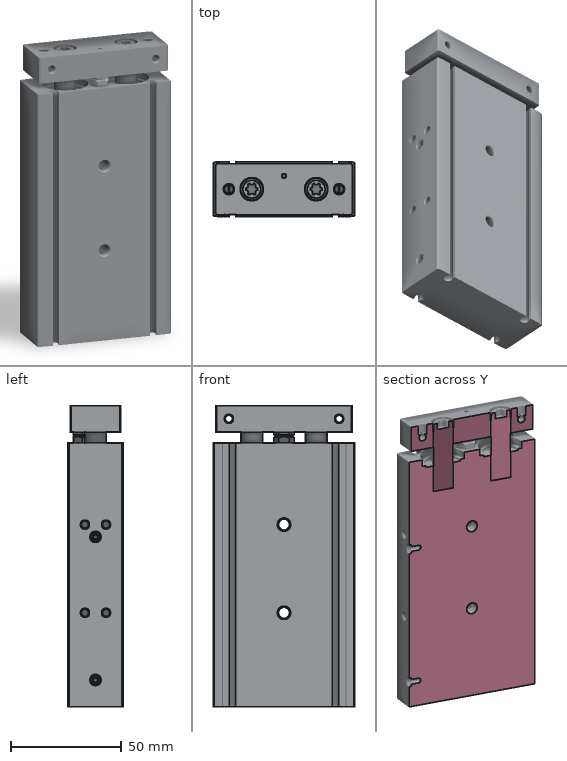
import cadquery as cq
import math

body_length = 119.6
body_width = 64.0
body_depth = 25.0
side_flat = 23.6
corner_cut = 0.4
shoulder_half_width = 28.0
groove_center_x = 23.3
groove_mouth_width = 3.0
groove_channel_dia = 4.1
groove_depth = 4.8

mount_hole_z = (42.6, 82.6)
body_hole_dia = 5.0
body_hole_rim = 6.0
side_hole_y = 4.8
side_hole_dia = 3.3
side_hole_rim = 4.1
side_hole_depth = 6.0
port_z = (12.1, 77.0)
port_dia = 4.1
port_rim = 5.0
port_depth = 0.8
port_step_dia = 3.3
port_step_depth = 1.4
port_bore_dia = 2.0
port_bore_depth = 5.5
drill_tip_angle = 118

rod_x = 14.6
rod_dia = 10.0
rod_insertion = 16.4
rod_top_gap = 0.4
rod_top_dia = 8.0
seal_recess_dia = 21.0
seal_recess_depth = 3.1
seal_step_dia = 17.2
seal_step_depth = 4.0
socket_tip_dia = 5.6
socket_valley_dia = 4.1
socket_tip_half_angle = 10
socket_depth = 3.0

total_height = 136.5
plate_width = 62.0
plate_depth = 23.1
plate_height = 12.0
plate_chamfer = 0.5
plate_bottom = total_height - plate_height
rod_counterbore_dia = 10.5
rod_counterbore_depth = 4.1
plate_hole_x = 25.0
cross_hole_dia = 3.3
cross_hole_rim = 4.1
cross_hole_z = total_height - plate_height / 2
top_hole_dia = 4.1
top_hole_rim = 4.9
top_hole_break_in = 0.04
top_hole_depth = (plate_height - cross_hole_dia) / 2 + top_hole_break_in

bolt_y = 6.0
hex_flats = 8.0
hex_corners = hex_flats / math.cos(math.radians(30))
bolt_head_top_dia = 7.5
nut_height = 1.2
neck_height = 0.5
bolt_shank_dia = 6.8
bolt_insertion = plate_height / 2
bolt_key_dia = 2.0
nut_bottom = plate_bottom - nut_height
head_top = nut_bottom - neck_height
head_height = head_top - body_length


def cylinder(dia, start, direction, length):
    return cq.Workplane(cq.Solid.makeCylinder(dia / 2, length, cq.Vector(*start), cq.Vector(*direction)))


def rimmed_hole(dia, rim_dia, start, direction, depth):
    """Cutter for a straight hole with a 45 degree countersink at its mouth."""
    rim = (rim_dia - dia) / 2
    sink = cq.Solid.makeCone(rim_dia / 2, dia / 2, rim, cq.Vector(*start), cq.Vector(*direction))
    return cylinder(dia, start, direction, depth).union(cq.Workplane(sink))


def hex_prism(bottom, height):
    return cq.Workplane("XY", origin=(0, bolt_y, bottom)).polygon(6, hex_corners).extrude(height)


def housing_block():
    """Extruded block whose broad faces curve gently back towards the narrow sides."""
    half_width = body_width / 2
    half_depth = body_depth / 2
    flat = side_flat / 2
    bend_x = half_width - corner_cut
    bend_y = flat + corner_cut
    run = bend_x - shoulder_half_width
    mid_x = shoulder_half_width + run / 2
    mid_y = half_depth - (half_depth - bend_y) / 4
    quarter = (
        cq.Workplane("XY").lineTo(0, half_depth).lineTo(shoulder_half_width, half_depth)
        .threePointArc((mid_x, mid_y), (bend_x, bend_y)).lineTo(half_width, flat).lineTo(half_width, 0)
        .close().extrude(body_length)
    )
    half = quarter.union(quarter.mirror("YZ"))
    return half.union(half.mirror("XZ"))


def groove(x, side):
    """Cutter for a full-length groove with a round channel; side is +1 or -1 along Y."""
    face_y = side * body_depth / 2
    round_y = face_y - side * (groove_depth - groove_channel_dia / 2)
    mouth = cq.Workplane("XY").center(x, (face_y + round_y) / 2)
    mouth = mouth.rect(groove_mouth_width, abs(face_y - round_y)).extrude(body_length)
    return mouth.union(cylinder(groove_channel_dia, (x, round_y, 0), (0, 0, 1), body_length))


def port(z):
    """Cutter for a stepped port with a drill-pointed bore, entering from the -X side."""
    start = (-body_width / 2, 0, z)
    bore_end = (-body_width / 2 + port_bore_depth, 0, z)
    radius = port_bore_dia / 2
    tip_height = radius / math.tan(math.radians(drill_tip_angle / 2))
    tip = cq.Solid.makeCone(radius, 0, tip_height, cq.Vector(*bore_end), cq.Vector(1, 0, 0))
    bore = cylinder(port_bore_dia, start, (1, 0, 0), port_bore_depth).union(cq.Workplane(tip))
    bore = bore.union(cylinder(port_step_dia, start, (1, 0, 0), port_step_depth))
    return rimmed_hole(port_dia, port_rim, start, (1, 0, 0), port_depth).union(bore)


def make_housing():
    housing = housing_block()
    for x in (-groove_center_x, groove_center_x):
        for side in (-1, 1):
            housing = housing.cut(groove(x, side))
    for z in mount_hole_z:
        for side in (-1, 1):
            start = (0, side * body_depth / 2, z)
            hole = rimmed_hole(body_hole_dia, body_hole_rim, start, (0, -side, 0), body_depth / 2)
            housing = housing.cut(hole)
        for y in (-side_hole_y, side_hole_y):
            start = (-body_width / 2, y, z)
            hole = rimmed_hole(side_hole_dia, side_hole_rim, start, (1, 0, 0), side_hole_depth)
            housing = housing.cut(hole)
    for z in port_z:
        housing = housing.cut(port(z))
    for x in (-rod_x, rod_x):
        top = (x, 0, body_length)
        housing = housing.cut(cylinder(seal_recess_dia, top, (0, 0, -1), seal_recess_depth))
        housing = housing.cut(cylinder(seal_step_dia, top, (0, 0, -1), seal_step_depth))
        housing = housing.cut(cylinder(rod_dia, top, (0, 0, -1), rod_insertion))
    return housing


def make_plate():
    block = cq.Workplane("XY", origin=(0, 0, plate_bottom)).rect(plate_width, plate_depth)
    plate = block.extrude(plate_height).edges("|Z").chamfer(plate_chamfer)
    for x in (-rod_x, rod_x):
        top = (x, 0, total_height)
        plate = plate.cut(cylinder(rod_dia, top, (0, 0, -1), plate_height))
        plate = plate.cut(cylinder(rod_counterbore_dia, top, (0, 0, -1), rod_counterbore_depth))
    for x in (-plate_hole_x, plate_hole_x):
        top = (x, 0, total_height)
        plate = plate.cut(rimmed_hole(top_hole_dia, top_hole_rim, top, (0, 0, -1), top_hole_depth))
        for side in (-1, 1):
            start = (x, side * plate_depth / 2, cross_hole_z)
            hole = rimmed_hole(cross_hole_dia, cross_hole_rim, start, (0, -side, 0), plate_depth / 2)
            plate = plate.cut(hole)
    plate = plate.cut(cylinder(bolt_shank_dia, (0, bolt_y, plate_bottom), (0, 0, 1), bolt_insertion))
    return plate.cut(cylinder(bolt_key_dia, (0, bolt_y, plate_bottom), (0, 0, 1), plate_height))


def star_socket(x, top):
    """Cutter for a six-lobed socket with one lobe pointing along +X."""
    def polar(dia, degrees):
        angle = math.radians(degrees)
        return (dia / 2 * math.cos(angle), dia / 2 * math.sin(angle))

    tip = socket_tip_half_angle
    outline = cq.Workplane("XY", origin=(x, 0, top - socket_depth)).moveTo(*polar(socket_tip_dia, -tip))
    for lobe in range(0, 360, 60):
        outline = outline.threePointArc(polar(socket_tip_dia, lobe), polar(socket_tip_dia, lobe + tip))
        next_tip = polar(socket_tip_dia, lobe + 60 - tip)
        outline = outline.threePointArc(polar(socket_valley_dia, lobe + 30), next_tip)
    return outline.close().extrude(socket_depth)


def make_rod(x):
    """Rod from inside the housing up through the plate, with a star socket in its top."""
    bottom = body_length - rod_insertion
    top = total_height - rod_top_gap
    rod = cylinder(rod_dia, (x, 0, bottom), (0, 0, 1), top - bottom)
    rod = rod.faces(">Z").chamfer((rod_dia - rod_top_dia) / 2)
    return rod.cut(star_socket(x, top))


def make_bolt():
    """Hexagonal head resting on the housing, with a shank through the nut into the plate."""
    rounding = cylinder(hex_corners, (0, bolt_y, body_length), (0, 0, 1), head_height)
    rounding = rounding.faces(">Z").chamfer((hex_corners - bolt_head_top_dia) / 2)
    head = hex_prism(body_length, head_height).intersect(rounding)
    shank_length = neck_height + nut_height + bolt_insertion
    return head.union(cylinder(bolt_shank_dia, (0, bolt_y, head_top), (0, 0, 1), shank_length))


def make_nut():
    nut = hex_prism(nut_bottom, nut_height)
    return nut.cut(cylinder(bolt_shank_dia, (0, bolt_y, nut_bottom), (0, 0, 1), nut_height))


housing = make_housing()
plate = make_plate()
rods = [make_rod(x) for x in (-rod_x, rod_x)]
bolt = make_bolt()
nut = make_nut()

result = cq.Compound.makeCompound(
    [housing.val(), plate.val(), *[rod.val() for rod in rods], bolt.val(), nut.val()]
)